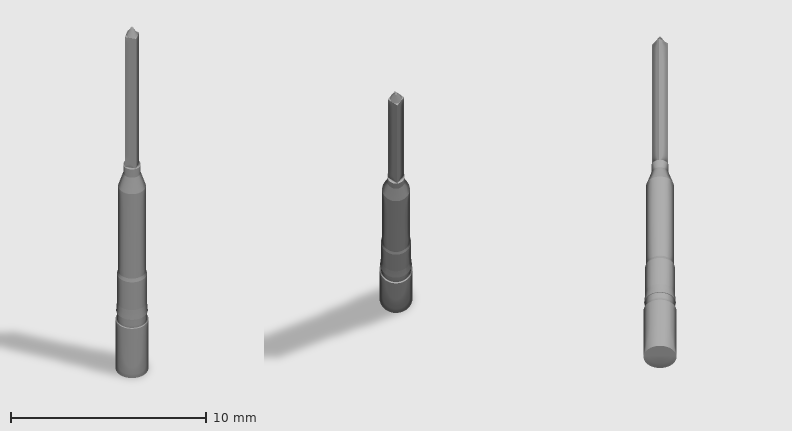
import cadquery as cq

total_height = 22.25

base_diameter = 1.7
sleeve_diameter = 1.53
barb_diameter = 1.62
tube_diameter = 1.42
collar_diameter = 0.9

base_top = 3.2
barb_bottom = 3.75
barb_top = 4.35
sleeve_shoulder = 6.15
sleeve_top = 6.35
tube_top = 11.85
taper_top = 12.72
collar_top = 13.25

pin_width = 0.6
point_height = 0.55


def make_turned_body():
    """Revolve the stepped holder with its barb and tapered nose."""
    base_radius = base_diameter / 2
    sleeve_radius = sleeve_diameter / 2
    tube_radius = tube_diameter / 2
    collar_radius = collar_diameter / 2
    profile = [
        (0, 0),
        (base_radius, 0),
        (base_radius, base_top),
        (sleeve_radius, base_top),
        (sleeve_radius, barb_bottom),
        (barb_diameter / 2, barb_bottom),
        (sleeve_radius, barb_top),
        (sleeve_radius, sleeve_shoulder),
        (tube_radius, sleeve_top),
        (tube_radius, tube_top),
        (collar_radius, taper_top),
        (collar_radius, collar_top),
        (0, collar_top),
    ]
    return cq.Workplane("XZ").polyline(profile).close().revolve(360, (0, 0), (0, 1))


def make_pin():
    """Square pin topped by a cone whose base touches the four pin sides."""
    pin_top = total_height - point_height
    shaft = (
        cq.Workplane("XY")
        .workplane(offset=collar_top)
        .rect(pin_width, pin_width)
        .extrude(pin_top - collar_top)
    )
    point = cq.Solid.makeCone(pin_width / 2, 0, point_height, pnt=cq.Vector(0, 0, pin_top))
    return shaft.union(cq.Workplane(obj=point))


result = make_turned_body().union(make_pin())